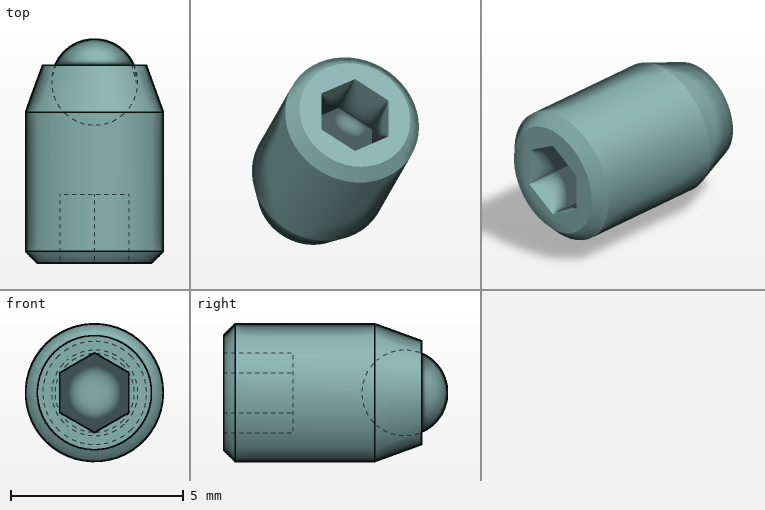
import cadquery as cq
import math

TOTAL_LENGTH = 6.5
HOUSING_DIAMETER = 4.0
HOUSING_LENGTH = 5.745
NOSE_DIAMETER = 3.0
NOSE_ANGLE = 20.0
CHAMFER = 0.345
HEX_ACROSS_FLATS = 2.0
HEX_SIDES = 6
HEX_DEPTH = 2.0
BALL_DIAMETER = 2.495

housing_radius = HOUSING_DIAMETER / 2
nose_radius = NOSE_DIAMETER / 2
nose_length = (housing_radius - nose_radius) / math.tan(math.radians(NOSE_ANGLE))
hex_across_corners = HEX_ACROSS_FLATS / math.cos(math.pi / HEX_SIDES)
ball_radius = BALL_DIAMETER / 2
ball_center_y = TOTAL_LENGTH - ball_radius


def make_ball():
    """Ball that projects from the nose, its tip at the full length."""
    return cq.Workplane("XY").sphere(ball_radius).translate((0, ball_center_y, 0))


def make_housing_blank():
    """Turned outside: chamfered socket end, cylinder and conical nose."""
    return (
        cq.Workplane("XY")
        .lineTo(housing_radius - CHAMFER, 0)
        .lineTo(housing_radius, CHAMFER)
        .lineTo(housing_radius, HOUSING_LENGTH - nose_length)
        .lineTo(nose_radius, HOUSING_LENGTH)
        .lineTo(0, HOUSING_LENGTH)
        .close()
        .revolve(360, (0, 0, 0), (0, 1, 0))
    )


def make_hex_socket():
    """Blind hexagonal socket with two flats facing +X and -X."""
    return (
        cq.Workplane("XZ")
        .transformed(rotate=(0, 0, 90))
        .polygon(HEX_SIDES, hex_across_corners)
        .extrude(-HEX_DEPTH)
    )


ball = make_ball()
housing = make_housing_blank().cut(make_hex_socket()).cut(ball)

result = cq.Compound.makeCompound([housing.solids().val(), ball.val()])